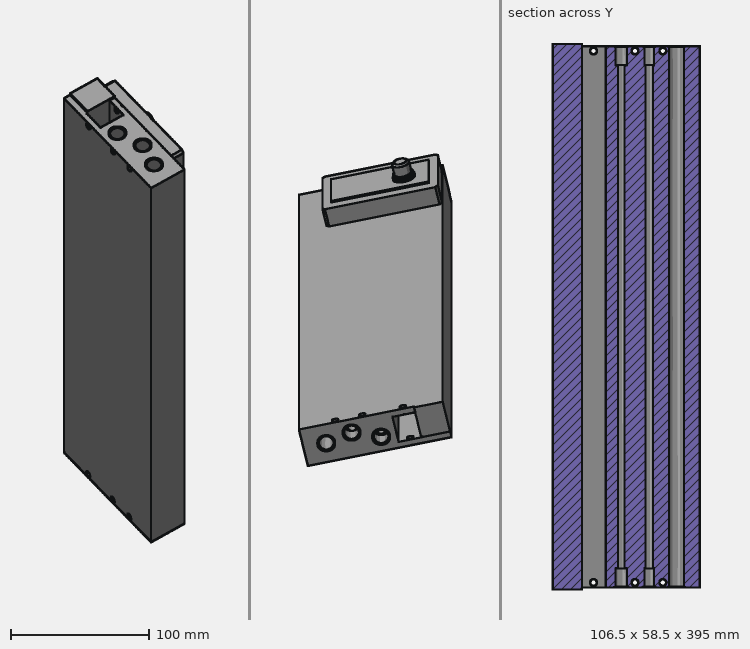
import cadquery as cq

total_height = 395.0
block_width = 106.5
block_depth = 30.0
total_depth = 58.5

end_pad_height = 1.5
end_pad_width = 21.5
end_pad_depth = 24.5
block_height = total_height - 2 * end_pad_height

duct_width = 17.0
duct_length = 20.5
duct_front = 4.7

left_passage = (49.8, 11.5)
middle_passage = (70.0, 19.5)
right_passage = (89.5, 15.0)
round_bore = 8.3
oblong_bore_width = 7.0
port_diameter = 10.5
port_mouth_diameter = 13.0
port_mouth_depth = 0.6
port_depth = 14.0

cross_hole_xs = [29.5, 59.5, 79.8]
cross_hole_diameter = 4.7
cross_hole_inset = 3.5

housing_left = 0.5
housing_right = 86.0
housing_depth = 14.2
housing_height = 54.5
housing_drop = 10.3
housing_bevel = 2.0
housing_z = total_height / 2 - housing_drop - housing_height / 2
housing_back = block_depth + housing_depth

plate_left = 7.0
plate_right = 79.5
plate_height = 36.5
plate_thickness = 1.0

connector_x = 25.3
connector_drop = 40.3
connector_z = total_height / 2 - connector_drop
connector_diameter = 12.5
connector_bevel = 1.5
flange_diameter = 16.0
flange_thickness = 1.0
collar_diameter = 14.5
collar_thickness = 0.5
collar_gap = 2.0


def box_between(left, right, front, back, height, z_middle=0.0):
    """Box given by its X and Y limits, its height and its mid-height."""
    box = cq.Workplane("XY").box(right - left, back - front, height)
    return box.translate(((left + right) / 2, (front + back) / 2, z_middle))


def disc_along_y(diameter, front, length, x, z):
    """Cylinder that starts at Y = front and runs toward +Y."""
    disc = cq.Solid.makeCylinder(diameter / 2, length, cq.Vector(x, front, z), cq.Vector(0, 1, 0))
    return cq.Workplane(obj=disc)


def block_with_end_pads():
    block = box_between(0, block_width, 0, block_depth, block_height)
    pads = box_between(0, end_pad_width, block_depth - end_pad_depth, block_depth, total_height)
    return block.union(pads)


def housing():
    body = box_between(housing_left, housing_right, block_depth, housing_back, housing_height, housing_z)
    body = body.edges("|Y").chamfer(housing_bevel)
    plate_back = housing_back + plate_thickness
    plate = box_between(plate_left, plate_right, housing_back, plate_back, plate_height, housing_z)
    return body.union(plate)


def connector():
    base = housing_back + plate_thickness
    flange_back = base + flange_thickness
    barrel = disc_along_y(connector_diameter, base, total_depth - base, connector_x, connector_z)
    barrel = barrel.faces(">Y").chamfer(connector_bevel)
    flange = disc_along_y(flange_diameter, base, flange_thickness, connector_x, connector_z)
    collar = disc_along_y(
        collar_diameter, flange_back + collar_gap, collar_thickness, connector_x, connector_z
    )
    return barrel.union(flange).union(collar)


def cut_duct(body):
    duct_right = end_pad_width + duct_width
    duct_back = duct_front + duct_length
    return body.cut(box_between(end_pad_width, duct_right, duct_front, duct_back, total_height))


def cut_ports(body):
    """Cut a port with a chamfered mouth at both ends of every passage."""
    mouth_z = block_height / 2
    for x, y in (left_passage, middle_passage, right_passage):
        port = (
            cq.Workplane("XZ", origin=(x, y, mouth_z))
            .lineTo(port_mouth_diameter / 2, 0)
            .lineTo(port_diameter / 2, -port_mouth_depth)
            .lineTo(port_diameter / 2, -port_depth)
            .lineTo(0, -port_depth)
            .close()
            .revolve(360, (0, 0), (0, 1))
        )
        body = body.cut(port).cut(port.mirror("XY"))
    return body


def cut_bores(body):
    """Join the end ports: round on the left, oblong in the middle, full port width on the right."""
    half_height = block_height / 2
    left = cq.Workplane("XY").center(*left_passage).circle(round_bore / 2)
    middle = cq.Workplane("XY").center(*middle_passage).slot2D(port_diameter, oblong_bore_width, 90)
    right = cq.Workplane("XY").center(*right_passage).circle(port_diameter / 2)
    for outline in (left, middle, right):
        body = body.cut(outline.extrude(half_height, both=True))
    return body


def cut_cross_holes(body):
    hole_z = block_height / 2 - cross_hole_inset
    for x in cross_hole_xs:
        for z in (-hole_z, hole_z):
            body = body.cut(disc_along_y(cross_hole_diameter, 0, block_depth, x, z))
    return body


body = cut_duct(block_with_end_pads())
body = cut_bores(cut_ports(body))
body = cut_cross_holes(body)
result = body.union(housing()).union(connector())